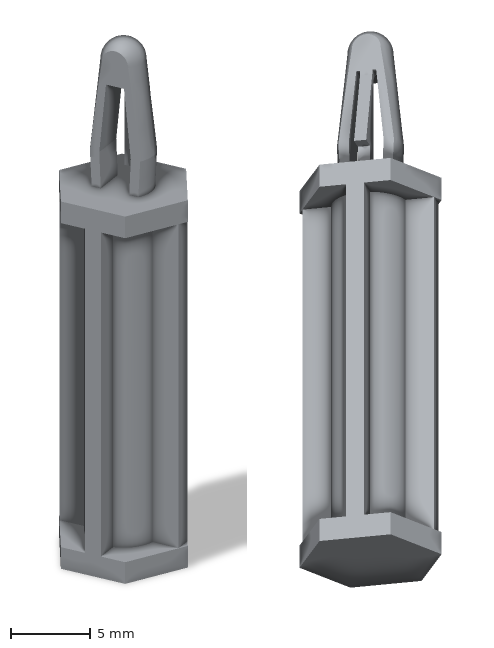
import cadquery as cq
import math

total_height = 36.0
hex_corner_width = 9.25
hex_flat_width = hex_corner_width * math.cos(math.pi / 6)
plate_thickness = 1.5
body_height = 25.65

core_radius = 2.5
rib_thickness = 1.15
rib_width_x = 8.55

tip_radius = 1.458
post_widest_radius = 2.12
post_base_radius = 2.0
post_widest_z = 28.2
post_thickness = 2.25

slot_top_z = 33.0
slot_top_width = 1.3
slot_widest_width = 2.25
slot_base_width = 2.05

latch_width = 0.8
latch_front_y = 0.85
latch_step_y = 1.7
latch_tip_y = 2.7
latch_bottom_z = 26.65
latch_tip_z = 27.6
latch_top_z = 32.75
latch_root_radius = 1.0


def make_plate(bottom_z):
    return (
        cq.Workplane("XY", origin=(0, 0, bottom_z))
        .polygon(6, hex_corner_width)
        .extrude(plate_thickness)
    )


def make_column():
    core = cq.Workplane("XY").circle(core_radius).extrude(body_height)
    rib_x = cq.Workplane("XY").rect(rib_width_x, rib_thickness).extrude(body_height)
    rib_y = cq.Workplane("XY").rect(rib_thickness, hex_flat_width).extrude(body_height)
    ribs = rib_x.union(rib_y)
    plates = make_plate(0).union(make_plate(body_height - plate_thickness))
    return core.union(ribs).union(plates)


def make_post():
    tip_center_z = total_height - tip_radius
    diagonal = tip_radius * math.sqrt(0.5)
    post = (
        cq.Workplane("XZ")
        .moveTo(0, body_height)
        .lineTo(post_base_radius, body_height)
        .lineTo(post_widest_radius, post_widest_z)
        .lineTo(tip_radius, tip_center_z)
        .threePointArc((diagonal, tip_center_z + diagonal), (0, total_height))
        .close()
        .revolve(360, (0, 0, 0), (0, 1, 0))
    )
    flats = cq.Workplane("XY").box(hex_corner_width, post_thickness, 2 * total_height)
    slot = (
        cq.Workplane("XZ")
        .moveTo(-slot_base_width / 2, body_height)
        .lineTo(-slot_widest_width / 2, post_widest_z)
        .lineTo(-slot_top_width / 2, slot_top_z)
        .lineTo(slot_top_width / 2, slot_top_z)
        .lineTo(slot_widest_width / 2, post_widest_z)
        .lineTo(slot_base_width / 2, body_height)
        .close()
        .extrude(post_thickness, both=True)
    )
    return post.intersect(flats).cut(slot)


def make_latch():
    post_back_y = post_thickness / 2
    root_y = latch_front_y - latch_root_radius
    root_z = slot_top_z - latch_root_radius
    diagonal = latch_root_radius * math.sqrt(0.5)
    return (
        cq.Workplane("YZ")
        .moveTo(latch_front_y, latch_bottom_z)
        .lineTo(latch_step_y, latch_bottom_z)
        .lineTo(latch_step_y, latch_tip_z)
        .lineTo(latch_tip_y, latch_tip_z)
        .lineTo(post_back_y, latch_top_z)
        .lineTo(post_back_y, slot_top_z)
        .lineTo(root_y, slot_top_z)
        .threePointArc((root_y + diagonal, root_z + diagonal), (latch_front_y, root_z))
        .close()
        .extrude(latch_width / 2, both=True)
    )


result = make_column().union(make_post()).union(make_latch())